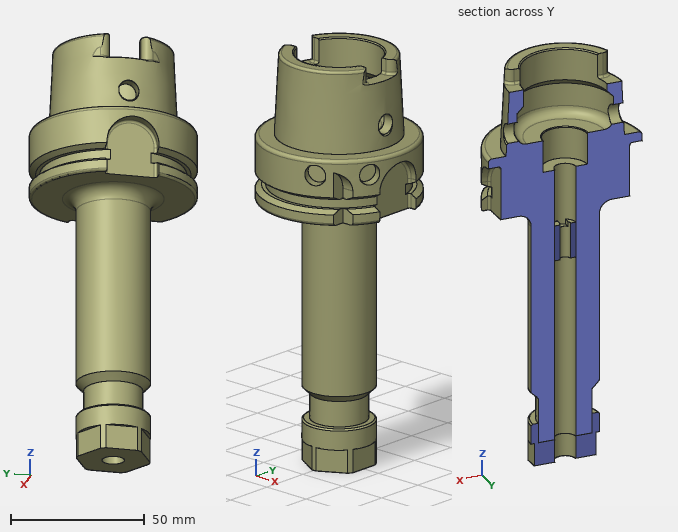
import cadquery as cq
import math


TOTAL_LENGTH = 162.0
TAPER_HEIGHT = 32.0
TIP_Z = TAPER_HEIGHT - TOTAL_LENGTH

TAPER_BASE_RADIUS = 24.3
TAPER_TOP_RADIUS = 22.7
TAPER_RIM_FILLET = 1.1

MOUTH_RADIUS = 17.0
MOUTH_CHAMFER = 0.5
MOUTH_DEPTH = 13.0
UNDERCUT_RADIUS = 19.6
CAVITY_FLOOR_Z = 3.5
CAVITY_FLOOR_RADIUS = 15.9
COOLANT_BORE_RADIUS = 8.9
COOLANT_BORE_CHAMFER = 0.3
COOLANT_BORE_DEPTH = 13.0

RIM_SLOT_HALF_WIDTH = 6.2
RIM_SLOT_SHOULDER_X = 20.9
RIM_SLOT_CORNER_RADIUS = 2.8
RIM_SLOT_FLARE_ANGLE = 27
RIM_SLOT_FLOOR_FILLET = 1.0
LEFT_RIM_SLOT_DEPTH = 9.9
RIGHT_RIM_SLOT_DEPTH = 6.0

CROSS_HOLE_RADIUS = 3.9
CROSS_HOLE_Z = 9.0
CROSS_HOLE_CHAMFER = 0.3

FLANGE_RADIUS = 63.0 / 2
FLANGE_HEIGHT = 26.0
FLANGE_TOP_FILLET = 1.5
FLANGE_BOTTOM_FILLET = 1.0
GROOVE_RADIUS = 27.5
GROOVE_TOP_Z = -16.2
GROOVE_BOTTOM_Z = -20.1
GROOVE_BEVEL_WIDTH = 2.5
GROOVE_BEVEL_HEIGHT = 1.5

ARCH_RADIUS = 10.0
ARCH_FLOOR_FILLET = 1.0
ARCH_CENTER_Z = -14.1
ARCH_FLOOR_X = 26.4

NOTCH_X = 19.8
NOTCH_Y = -19.5
NOTCH_RADIUS = 7.8
NOTCH_CENTER_Z = -12.2

RIM_HOLE_RADIUS = 4.0
RIM_HOLE_Z = -6.3
RIM_HOLE_DEPTH = 4.5
RIM_HOLE_ANGLES = (-64, -26)

SHANK_RADIUS = 28.0 / 2
SHANK_FILLET = 5.0
SHANK_END_Z = TIP_Z + 30.5
NECK_RADIUS = 22.2 / 2
NECK_TOP_Z = SHANK_END_Z - (SHANK_RADIUS - NECK_RADIUS)
CHANNEL_RADIUS = 4.2

NUT_RADIUS = SHANK_RADIUS
NUT_TOP_Z = TIP_Z + 17.5
NUT_TOP_CHAMFER = 0.6
HEX_ACROSS_FLATS = 25.3
HEX_HEIGHT = 9.2
NECK_END_Z = TIP_Z + HEX_HEIGHT

SCREW_TOP_Z = -32.4
SCREW_LENGTH = 14.5
SCREW_HOLE_RADIUS = 2.1
SCREW_SLOT_WIDTH = 3.4
SCREW_SLOT_DEPTH = 2.0


def cylinder(radius, bottom_z, top_z):
    return cq.Workplane("XY").workplane(offset=bottom_z).circle(radius).extrude(top_z - bottom_z)


def make_taper():
    taper = (
        cq.Workplane("XZ")
        .polyline([(0, 0), (TAPER_BASE_RADIUS, 0), (TAPER_TOP_RADIUS, TAPER_HEIGHT), (0, TAPER_HEIGHT)])
        .close()
        .revolve(360, (0, 0, 0), (0, 1, 0))
    )
    return taper.faces(">Z").edges().fillet(TAPER_RIM_FILLET)


def make_flange():
    flange = cylinder(FLANGE_RADIUS, -FLANGE_HEIGHT, 0)
    flange = flange.faces(">Z").edges().fillet(FLANGE_TOP_FILLET)
    flange = flange.faces("<Z").edges().fillet(FLANGE_BOTTOM_FILLET)
    bevel_inner_radius = FLANGE_RADIUS - GROOVE_BEVEL_WIDTH
    groove = (
        cq.Workplane("XZ")
        .polyline([
            (GROOVE_RADIUS, GROOVE_TOP_Z),
            (bevel_inner_radius, GROOVE_TOP_Z),
            (FLANGE_RADIUS, GROOVE_TOP_Z + GROOVE_BEVEL_HEIGHT),
            (FLANGE_RADIUS, GROOVE_BOTTOM_Z - GROOVE_BEVEL_HEIGHT),
            (bevel_inner_radius, GROOVE_BOTTOM_Z),
            (GROOVE_RADIUS, GROOVE_BOTTOM_Z),
        ])
        .close()
        .revolve(360, (0, 0, 0), (0, 1, 0))
    )
    return flange.cut(groove)


def make_shank():
    arc_middle = SHANK_FILLET * (1 - math.sqrt(0.5))
    return (
        cq.Workplane("XZ")
        .moveTo(0, -FLANGE_HEIGHT)
        .lineTo(SHANK_RADIUS + SHANK_FILLET, -FLANGE_HEIGHT)
        .threePointArc(
            (SHANK_RADIUS + arc_middle, -FLANGE_HEIGHT - arc_middle),
            (SHANK_RADIUS, -FLANGE_HEIGHT - SHANK_FILLET),
        )
        .lineTo(SHANK_RADIUS, SHANK_END_Z)
        .lineTo(NECK_RADIUS, NECK_TOP_Z)
        .lineTo(NECK_RADIUS, NECK_END_Z)
        .lineTo(0, NECK_END_Z)
        .close()
        .revolve(360, (0, 0, 0), (0, 1, 0))
    )


def make_cavity():
    """Everything hollow along the axis: undercut cavity, coolant bore and channel."""
    mouth_end_z = TAPER_HEIGHT - MOUTH_DEPTH
    undercut_step = UNDERCUT_RADIUS - MOUTH_RADIUS
    floor_fillet = UNDERCUT_RADIUS - CAVITY_FLOOR_RADIUS
    fillet_bulge = floor_fillet * math.sqrt(0.5)
    fillet_center_z = CAVITY_FLOOR_Z + floor_fillet
    coolant_top_radius = COOLANT_BORE_RADIUS + COOLANT_BORE_CHAMFER
    coolant_end_z = CAVITY_FLOOR_Z - COOLANT_BORE_DEPTH
    return (
        cq.Workplane("XZ")
        .moveTo(0, TAPER_HEIGHT)
        .lineTo(MOUTH_RADIUS + MOUTH_CHAMFER, TAPER_HEIGHT)
        .lineTo(MOUTH_RADIUS, TAPER_HEIGHT - MOUTH_CHAMFER)
        .lineTo(MOUTH_RADIUS, mouth_end_z)
        .lineTo(UNDERCUT_RADIUS, mouth_end_z - undercut_step)
        .lineTo(UNDERCUT_RADIUS, fillet_center_z)
        .threePointArc(
            (CAVITY_FLOOR_RADIUS + fillet_bulge, fillet_center_z - fillet_bulge),
            (CAVITY_FLOOR_RADIUS, CAVITY_FLOOR_Z),
        )
        .lineTo(coolant_top_radius, CAVITY_FLOOR_Z)
        .lineTo(COOLANT_BORE_RADIUS, CAVITY_FLOOR_Z - COOLANT_BORE_CHAMFER)
        .lineTo(COOLANT_BORE_RADIUS, coolant_end_z)
        .lineTo(CHANNEL_RADIUS, coolant_end_z)
        .lineTo(CHANNEL_RADIUS, NECK_END_Z)
        .lineTo(0, NECK_END_Z)
        .close()
        .revolve(360, (0, 0, 0), (0, 1, 0))
    )


def rim_slot_cutter(depth):
    """Slot through the +X side of the taper rim, flaring outwards round a convex corner."""
    radius = RIM_SLOT_CORNER_RADIUS
    flare = math.radians(RIM_SLOT_FLARE_ANGLE)
    center_x = RIM_SLOT_SHOULDER_X - radius
    center_y = RIM_SLOT_HALF_WIDTH + radius
    arc_end_x = center_x + radius * math.cos(flare)
    arc_end_y = center_y + radius * math.sin(flare)
    reach = TAPER_BASE_RADIUS
    flare_end_x = arc_end_x - (reach - arc_end_y) * math.tan(flare)
    half_slot = (
        cq.Workplane("XY")
        .workplane(offset=TAPER_HEIGHT - depth)
        .lineTo(0, RIM_SLOT_HALF_WIDTH)
        .lineTo(center_x, RIM_SLOT_HALF_WIDTH)
        .threePointArc((RIM_SLOT_SHOULDER_X, center_y), (arc_end_x, arc_end_y))
        .lineTo(flare_end_x, reach)
        .lineTo(reach, reach)
        .lineTo(reach, 0)
        .close()
        .extrude(depth)
    )
    slot = half_slot.union(half_slot.mirror("XZ"))
    return slot.faces("<Z").edges().fillet(RIM_SLOT_FLOOR_FILLET)


def arched_cutter(floor_x, center_y, center_z, radius):
    """Round-topped slot that opens towards +X and runs out of the flange underside."""
    bottom = -FLANGE_HEIGHT - radius
    return (
        cq.Workplane("YZ")
        .workplane(offset=floor_x)
        .moveTo(center_y - radius, bottom)
        .lineTo(center_y - radius, center_z)
        .threePointArc((center_y, center_z + radius), (center_y + radius, center_z))
        .lineTo(center_y + radius, bottom)
        .close()
        .extrude(FLANGE_RADIUS)
    )


def cross_hole_cutter():
    """Hole along X through both walls of the taper, countersunk at both outer ends."""
    wall_x = TAPER_BASE_RADIUS - (TAPER_BASE_RADIUS - TAPER_TOP_RADIUS) * CROSS_HOLE_Z / TAPER_HEIGHT
    hole = (
        cq.Workplane("YZ")
        .center(0, CROSS_HOLE_Z)
        .circle(CROSS_HOLE_RADIUS)
        .extrude(TAPER_BASE_RADIUS, both=True)
    )
    countersink = cq.Workplane(cq.Solid.makeCone(
        CROSS_HOLE_RADIUS,
        CROSS_HOLE_RADIUS + 2 * CROSS_HOLE_CHAMFER,
        2 * CROSS_HOLE_CHAMFER,
        cq.Vector(wall_x - CROSS_HOLE_CHAMFER, 0, CROSS_HOLE_Z),
        cq.Vector(1, 0, 0),
    ))
    return hole.union(countersink).union(countersink.mirror("YZ"))


def rim_hole_cutter(angle):
    return (
        cq.Workplane("YZ")
        .workplane(offset=FLANGE_RADIUS - RIM_HOLE_DEPTH)
        .center(0, RIM_HOLE_Z)
        .circle(RIM_HOLE_RADIUS)
        .extrude(FLANGE_RADIUS)
        .rotate((0, 0, 0), (0, 0, 1), angle)
    )


def make_holder():
    holder = make_taper().union(make_flange()).union(make_shank()).cut(make_cavity())
    holder = holder.cut(rim_slot_cutter(RIGHT_RIM_SLOT_DEPTH))
    holder = holder.cut(rim_slot_cutter(LEFT_RIM_SLOT_DEPTH).mirror("YZ"))
    holder = holder.cut(cross_hole_cutter())
    arch = arched_cutter(ARCH_FLOOR_X, 0, ARCH_CENTER_Z, ARCH_RADIUS)
    arch = arch.faces("<X").edges().fillet(ARCH_FLOOR_FILLET)
    for side_angle in (0, 180):
        holder = holder.cut(arch.rotate((0, 0, 0), (0, 0, 1), side_angle))
    holder = holder.cut(arched_cutter(NOTCH_X, NOTCH_Y - NOTCH_RADIUS, NOTCH_CENTER_Z, NOTCH_RADIUS))
    for angle in RIM_HOLE_ANGLES:
        holder = holder.cut(rim_hole_cutter(angle))
    return holder


def make_nut():
    """Round collar over a hexagon with rounded corners, bored to take the end of the neck."""
    collar = cylinder(NUT_RADIUS, NECK_END_Z, NUT_TOP_Z).faces(">Z").edges().chamfer(NUT_TOP_CHAMFER)
    hexagon = (
        cq.Workplane("XY")
        .workplane(offset=TIP_Z)
        .polygon(6, HEX_ACROSS_FLATS, circumscribed=True)
        .extrude(HEX_HEIGHT)
    )
    corner_limit = cylinder(NUT_RADIUS, TIP_Z, NECK_END_Z)
    nut = collar.union(hexagon.intersect(corner_limit))
    nut = nut.cut(cylinder(NECK_RADIUS, NECK_END_Z, NUT_TOP_Z))
    return nut.cut(cylinder(CHANNEL_RADIUS, TIP_Z, NECK_END_Z))


def make_stop_screw():
    """Slotted plug with a central hole, filling the channel of the holder."""
    screw = cylinder(CHANNEL_RADIUS, SCREW_TOP_Z - SCREW_LENGTH, SCREW_TOP_Z)
    screw = screw.cut(cylinder(SCREW_HOLE_RADIUS, SCREW_TOP_Z - SCREW_LENGTH, SCREW_TOP_Z))
    slot = (
        cq.Workplane("XY")
        .workplane(offset=SCREW_TOP_Z - SCREW_SLOT_DEPTH)
        .rect(SCREW_SLOT_WIDTH, 2 * CHANNEL_RADIUS)
        .extrude(SCREW_SLOT_DEPTH)
    )
    return screw.cut(slot)


holder = make_holder()
nut = make_nut()
stop_screw = make_stop_screw()

result = cq.Compound.makeCompound([holder.val(), nut.val(), stop_screw.val()])